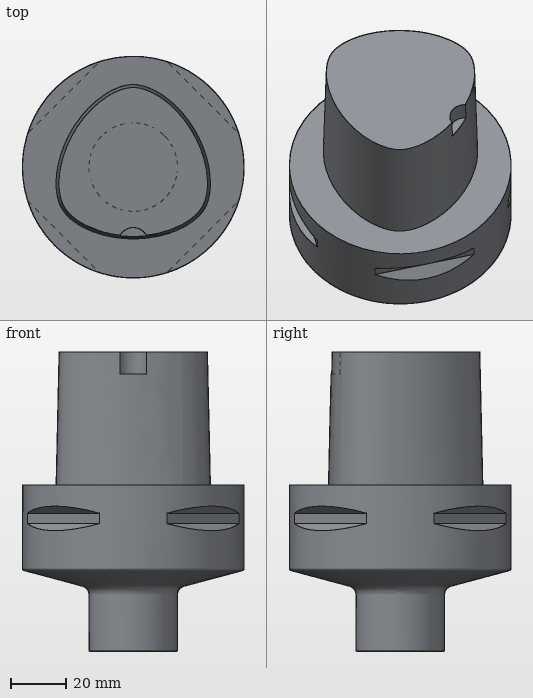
import cadquery as cq
import math

TOTAL_HEIGHT = 108.0
COLLAR_TOP = 60.0

COLLAR_RADIUS = 80.0 / 2
CONE_EDGE_HEIGHT = 29.3
CONE_ANGLE = 15.0
PILOT_RADIUS = 32.0 / 2
PILOT_ROOT_FILLET = 3.0
PILOT_END_FILLET = 0.4
COLLAR_EDGE_FILLET = 1.0

SHANK_BASE_RADIUS = 27.9
SHANK_TOP_RADIUS = 26.8
LOBE_ECCENTRICITY = 1.9
LOBE_COUNT = 3
LOBE_HALF_ANGLE = 32.0
SPLINE_STEPS = 12

NOTCH_COUNT = 4
NOTCH_MIDDLE_HEIGHT = 48.0
NOTCH_FLOOR_DISTANCE = 35.5
NOTCH_FLOOR_HEIGHT = 3.7
NOTCH_FLANK_ANGLE = 30.0

GROOVE_RADIUS = 5.4
GROOVE_DEEPEST_Y = -21.8
GROOVE_LENGTH = 8.0


def round_edge(solid, radius, height, fillet):
    """Fillet the circular edge of the given radius at the given height."""
    margin = 1.1
    thickness = 0.1
    reach = radius + margin
    edge = cq.selectors.BoxSelector(
        (-reach, -reach, height - thickness),
        (reach, reach, height + thickness),
        boundingbox=True,
    )
    return solid.edges(edge).fillet(fillet)


def make_body():
    """Revolve the pilot, cone and collar, then round their edges."""
    cone_rise = (COLLAR_RADIUS - PILOT_RADIUS) * math.tan(math.radians(CONE_ANGLE))
    pilot_top = CONE_EDGE_HEIGHT - cone_rise
    profile = (
        cq.Workplane("XZ")
        .lineTo(PILOT_RADIUS, 0)
        .lineTo(PILOT_RADIUS, pilot_top)
        .lineTo(COLLAR_RADIUS, CONE_EDGE_HEIGHT)
        .lineTo(COLLAR_RADIUS, COLLAR_TOP)
        .lineTo(0, COLLAR_TOP)
        .close()
    )
    body = profile.revolve(360, (0, 0), (0, 1))

    body = round_edge(body, PILOT_RADIUS, 0, PILOT_END_FILLET)
    body = round_edge(body, PILOT_RADIUS, pilot_top, PILOT_ROOT_FILLET)
    return round_edge(body, COLLAR_RADIUS, CONE_EDGE_HEIGHT, COLLAR_EDGE_FILLET)


def lobed_point(mean_radius, normal_angle):
    """Point of the lobed curve whose outward normal has the given angle in degrees."""
    angle = math.radians(normal_angle)
    phase = LOBE_COUNT * (angle - math.pi / 2)
    reach = mean_radius + LOBE_ECCENTRICITY * math.cos(phase)
    slide = -LOBE_COUNT * LOBE_ECCENTRICITY * math.sin(phase)
    return (
        reach * math.cos(angle) - slide * math.sin(angle),
        reach * math.sin(angle) + slide * math.cos(angle),
    )


def lobed_wire(mean_radius, height):
    """Closed outline made of alternating lobe and flank curves."""
    def curve(start, end):
        points = []
        for step in range(SPLINE_STEPS + 1):
            x, y = lobed_point(mean_radius, start + (end - start) * step / SPLINE_STEPS)
            points.append(cq.Vector(x, y, height))
        return cq.Edge.makeSpline(points)

    pitch = 360 / LOBE_COUNT
    edges = []
    for index in range(LOBE_COUNT):
        lobe_angle = 90 + index * pitch
        lobe_end = lobe_angle + LOBE_HALF_ANGLE
        edges.append(curve(lobe_angle - LOBE_HALF_ANGLE, lobe_end))
        edges.append(curve(lobe_end, lobe_angle + pitch - LOBE_HALF_ANGLE))
    return cq.Wire.assembleEdges(edges)


def make_shank():
    base = lobed_wire(SHANK_BASE_RADIUS, COLLAR_TOP)
    top = lobed_wire(SHANK_TOP_RADIUS, TOTAL_HEIGHT)
    return cq.Workplane(cq.Solid.makeLoft([base, top], True))


def make_notch():
    """Straight trapezoidal cutter whose floor faces +X."""
    depth = COLLAR_RADIUS - NOTCH_FLOOR_DISTANCE
    floor_half = NOTCH_FLOOR_HEIGHT / 2
    mouth_half = floor_half + depth * math.tan(math.radians(NOTCH_FLANK_ANGLE))
    return (
        cq.Workplane("XZ", origin=(0, 0, NOTCH_MIDDLE_HEIGHT))
        .moveTo(NOTCH_FLOOR_DISTANCE, -floor_half)
        .lineTo(COLLAR_RADIUS, -mouth_half)
        .lineTo(COLLAR_RADIUS, mouth_half)
        .lineTo(NOTCH_FLOOR_DISTANCE, floor_half)
        .close()
        .extrude(COLLAR_RADIUS, both=True)
    )


def make_groove():
    return (
        cq.Workplane("XY", origin=(0, GROOVE_DEEPEST_Y - GROOVE_RADIUS, TOTAL_HEIGHT - GROOVE_LENGTH))
        .circle(GROOVE_RADIUS)
        .extrude(GROOVE_LENGTH)
    )


result = make_body().union(make_shank()).cut(make_groove())

notch_pitch = 360 / NOTCH_COUNT
for notch_index in range(NOTCH_COUNT):
    notch_angle = notch_pitch * (notch_index + 0.5)
    result = result.cut(make_notch().rotate((0, 0, 0), (0, 0, 1), notch_angle))